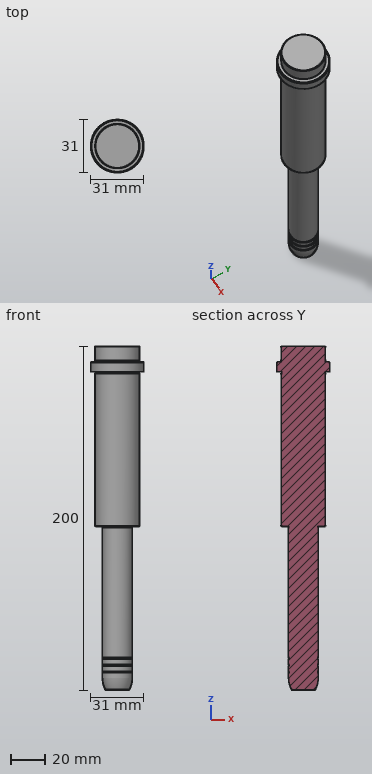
import cadquery as cq
import math

total_length = 200.0
flange_diameter = 31.0
body_diameter = 26.0
shank_diameter = 17.5

body_bottom = 95.0
flange_height = 6.0
flange_top = total_length - 9.0
flange_bottom = flange_top - flange_height

top_chamfer = 0.5
flange_chamfer = 0.5
body_chamfer = 0.5
tip_chamfer = 0.5

lead_in_length = 7.0
lead_in_radius = 14.0

ring_groove_count = 3
ring_groove_width = 1.0
ring_groove_depth = 0.5
first_groove_bottom = 10.0
ring_groove_pitch = 4.0

relief_width = 1.2
relief_depth = 0.5

neck_length = 0.5
neck_depth = 0.2

flange_radius = flange_diameter / 2
body_radius = body_diameter / 2
shank_radius = shank_diameter / 2


def lead_in_point(height):
    """Point (radius, height) on the lead-in arc."""
    drop = lead_in_length - height
    arc_center = shank_radius - lead_in_radius
    return arc_center + math.sqrt(lead_in_radius**2 - drop**2), height


def draw_tip(profile):
    """End face, chamfer and lead-in arc, up to the straight shank."""
    chamfer_radius, chamfer_top = lead_in_point(tip_chamfer)
    return (
        profile.lineTo(chamfer_radius - tip_chamfer, 0)
        .lineTo(chamfer_radius, chamfer_top)
        .threePointArc(lead_in_point(lead_in_length / 2), lead_in_point(lead_in_length))
    )


def draw_v_groove(profile, radius, bottom, width, depth):
    """V-shaped groove cut into a cylinder of the given radius."""
    return (
        profile.lineTo(radius, bottom)
        .lineTo(radius - depth, bottom + width / 2)
        .lineTo(radius, bottom + width)
    )


def draw_shank(profile):
    """Shank with its ring grooves and a neck where it meets the body."""
    for index in range(ring_groove_count):
        bottom = first_groove_bottom + index * ring_groove_pitch
        profile = draw_v_groove(profile, shank_radius, bottom, ring_groove_width, ring_groove_depth)
    profile = profile.lineTo(shank_radius, body_bottom - neck_length)
    return profile.lineTo(shank_radius - neck_depth, body_bottom)


def draw_body(profile):
    """Chamfered body up to the underside of the flange."""
    profile = profile.lineTo(body_radius - body_chamfer, body_bottom)
    profile = profile.lineTo(body_radius, body_bottom + body_chamfer)
    return draw_v_groove(profile, body_radius, flange_bottom - relief_width, relief_width, relief_depth)


def draw_head(profile):
    """Flange, the neck above it and the chamfered top end."""
    return (
        profile.lineTo(flange_radius, flange_bottom)
        .lineTo(flange_radius, flange_top - flange_chamfer)
        .lineTo(flange_radius - flange_chamfer, flange_top)
        .lineTo(body_radius - neck_depth, flange_top)
        .lineTo(body_radius, flange_top + neck_length)
        .lineTo(body_radius, total_length - top_chamfer)
        .lineTo(body_radius - top_chamfer, total_length)
        .lineTo(0, total_length)
    )


half_section = cq.Workplane("XZ").moveTo(0, 0)
for draw_section in (draw_tip, draw_shank, draw_body, draw_head):
    half_section = draw_section(half_section)

result = half_section.close().revolve(360, (0, 0, 0), (0, 1, 0))